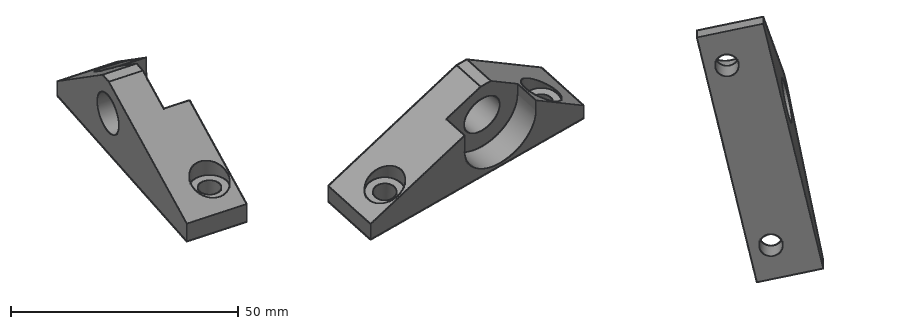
import cadquery as cq

length = 60.0
width = 15.0
height = 20.0
left_end_height = 4.0
right_end_height = 5.0
crest_start = 21.0
crest_end = 23.9

bore_x = 23.5
bore_z = 11.0
bore_diameter = 10.0
recess_diameter = 2 * bore_diameter
recess_depth = 6.5

screw_x_positions = (8.0, 52.0)
screw_y = width * 2 / 3
screw_hole_diameter = 5.2
screw_head_diameter = 9.0
screw_seat_z = 6.0


def make_body():
    profile = [
        (0, 0),
        (length, 0),
        (length, right_end_height),
        (crest_end, height),
        (crest_start, height),
        (0, left_end_height),
    ]
    return cq.Workplane("XZ").polyline(profile).close().extrude(-width)


def cross_cylinder(diameter, start_y, depth):
    """Cylinder on the bore axis, running toward +Y from start_y."""
    plane = cq.Workplane("XZ", origin=(bore_x, start_y, bore_z))
    return plane.circle(diameter / 2).extrude(-depth)


def make_recess():
    """Round-bottomed pocket with straight sides rising from the bore axis."""
    start_y = width - recess_depth
    upper_height = height - bore_z
    upper = cq.Workplane("XY").box(
        recess_diameter, recess_depth, upper_height, centered=(True, False, False)
    )
    upper = upper.translate((bore_x, start_y, bore_z))
    return cross_cylinder(recess_diameter, start_y, recess_depth).union(upper)


def vertical_cylinder(x, diameter, bottom_z):
    """Cylinder on a screw axis, open upward from bottom_z."""
    plane = cq.Workplane("XY", origin=(x, screw_y, bottom_z))
    return plane.circle(diameter / 2).extrude(height - bottom_z)


result = make_body()
result = result.cut(cross_cylinder(bore_diameter, 0, width))
result = result.cut(make_recess())

for screw_x in screw_x_positions:
    result = result.cut(vertical_cylinder(screw_x, screw_hole_diameter, 0))
    result = result.cut(vertical_cylinder(screw_x, screw_head_diameter, screw_seat_z))